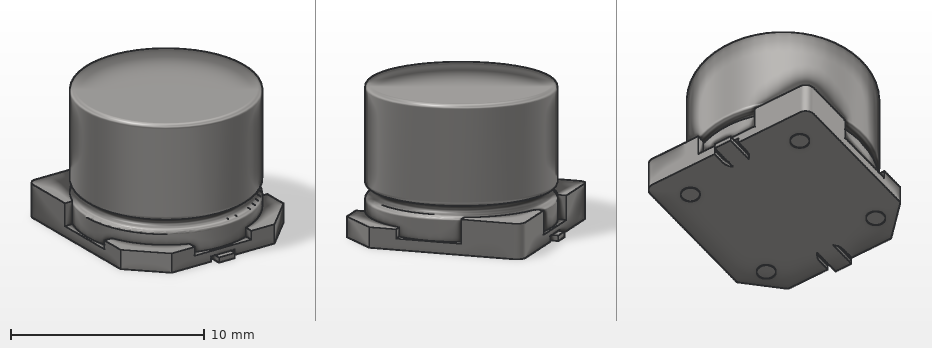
import cadquery as cq

can_top = 7.9
floor_top = 0.6
tall_wall_top = 1.9
low_wall_top = 1.1

base_side = 10.3
half_side = base_side / 2
corner_radius = 0.5
corner_chamfer = 1.9
notch_width = 3.57

can_radius = 5.0
edge_radius = 0.25
neck_middle = 2.2

terminal_span = 11.0
terminal_width = 1.0
terminal_thickness = 0.3
pocket_width = 1.5
pocket_depth = pocket_width

foot_diameter = 1.0
foot_height = 0.05
foot_offset = 3.45


def make_base():
    """Square tray with a round can seat: tall walls at -X, low walls at the chamfered +X corners."""
    base = cq.Workplane("XY").box(base_side, base_side, tall_wall_top, centered=(True, True, False))
    base = base.edges("|Z and <X").fillet(corner_radius)
    base = base.edges("|Z and >X").chamfer(corner_chamfer)

    low_side = (
        cq.Workplane("XY", origin=(half_side / 2, 0, low_wall_top))
        .box(half_side, base_side, tall_wall_top, centered=(True, True, False))
    )
    notches = (
        cq.Workplane("XY", origin=(0, 0, floor_top))
        .rect(base_side, notch_width)
        .extrude(tall_wall_top)
        .union(
            cq.Workplane("XY", origin=(0, 0, floor_top))
            .rect(notch_width, base_side)
            .extrude(tall_wall_top)
        )
    )
    can_seat = (
        cq.Workplane("XY", origin=(0, 0, floor_top))
        .circle(can_radius)
        .extrude(tall_wall_top)
    )
    return base.cut(low_side).cut(notches).cut(can_seat)


def make_can():
    """Revolved can with a rounded top edge and a rolled neck groove."""
    inner_radius = can_radius - edge_radius
    neck_radius = inner_radius - edge_radius
    groove_bottom = neck_middle - edge_radius
    groove_top = neck_middle + edge_radius
    lip_bottom = groove_bottom - edge_radius
    lip_top = groove_top + edge_radius
    return (
        cq.Workplane("XZ")
        .moveTo(0, floor_top)
        .lineTo(can_radius, floor_top)
        .lineTo(can_radius, lip_bottom)
        .radiusArc((inner_radius, groove_bottom), -edge_radius)
        .threePointArc((neck_radius, neck_middle), (inner_radius, groove_top))
        .radiusArc((can_radius, lip_top), -edge_radius)
        .lineTo(can_radius, can_top - edge_radius)
        .radiusArc((inner_radius, can_top), -edge_radius)
        .lineTo(0, can_top)
        .close()
        .revolve(360, (0, 0), (0, 1))
    )


def make_pocket(side):
    """Round-ended pocket in the underside, open at the +X (side 1) or -X (side -1) edge."""
    end_radius = pocket_width / 2
    end_center = half_side - pocket_depth + end_radius
    return (
        cq.Workplane("XY")
        .moveTo(side * half_side, -end_radius)
        .lineTo(side * end_center, -end_radius)
        .threePointArc((side * (half_side - pocket_depth), 0), (side * end_center, end_radius))
        .lineTo(side * half_side, end_radius)
        .close()
        .extrude(terminal_thickness)
    )


def make_terminal(side):
    """Flat terminal running from the pocket end out past the base edge."""
    length = terminal_span / 2 - half_side + pocket_depth
    center_x = side * (terminal_span - length) / 2
    return (
        cq.Workplane("XY", origin=(center_x, 0, 0))
        .box(length, terminal_width, terminal_thickness, centered=(True, True, False))
    )


def make_feet():
    """Four thin round standoffs under the base."""
    spacing = 2 * foot_offset
    return (
        cq.Workplane("XY")
        .rarray(spacing, spacing, 2, 2)
        .circle(foot_diameter / 2)
        .extrude(-foot_height)
    )


result = make_base().union(make_can())
for side in (-1, 1):
    result = result.cut(make_pocket(side)).union(make_terminal(side))
result = result.union(make_feet())